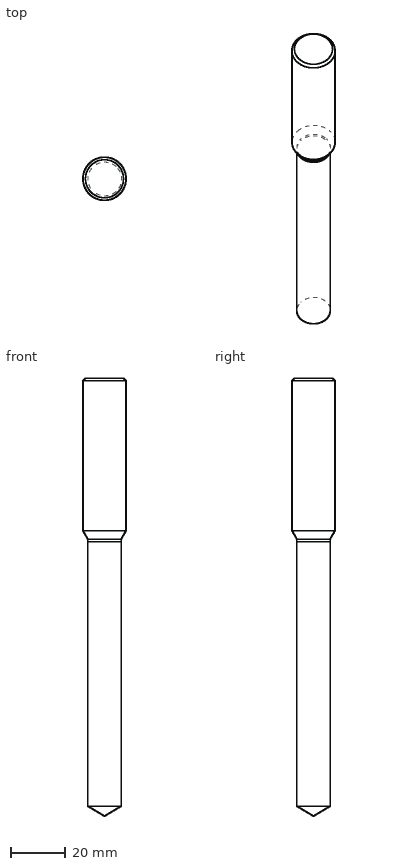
import cadquery as cq
import math

total_length = 161.0
shank_diameter = 16.0
cutter_diameter = 12.4

back_chamfer = 1.0
shank_length = 56.0
shoulder_angle = 30.0
neck_length = 1.0

point_angle = 118.0

shank_radius = shank_diameter / 2
cutter_radius = cutter_diameter / 2
shoulder_length = (shank_radius - cutter_radius) / math.tan(math.radians(shoulder_angle))
point_length = cutter_radius / math.tan(math.radians(point_angle / 2))

shoulder_top = total_length - shank_length
neck_top = shoulder_top - shoulder_length
joint_height = neck_top - neck_length


def turned(profile):
    """Revolve a closed (radius, height) profile about the Z axis."""
    return cq.Workplane("XZ").polyline(profile).close().revolve(360, (0, 0), (0, 1))


def make_shank():
    """Thick back part, tapering down to the cutter diameter."""
    return turned([
        (0, joint_height),
        (cutter_radius, joint_height),
        (cutter_radius, neck_top),
        (shank_radius, shoulder_top),
        (shank_radius, total_length - back_chamfer),
        (shank_radius - back_chamfer, total_length),
        (0, total_length),
    ])


def make_cutter():
    """Straight cylinder with a conical point at its lower end."""
    return turned([
        (0, 0),
        (cutter_radius, point_length),
        (cutter_radius, joint_height),
        (0, joint_height),
    ])


shank = make_shank()
cutter = make_cutter()

result = cq.Compound.makeCompound([shank.val(), cutter.val()])